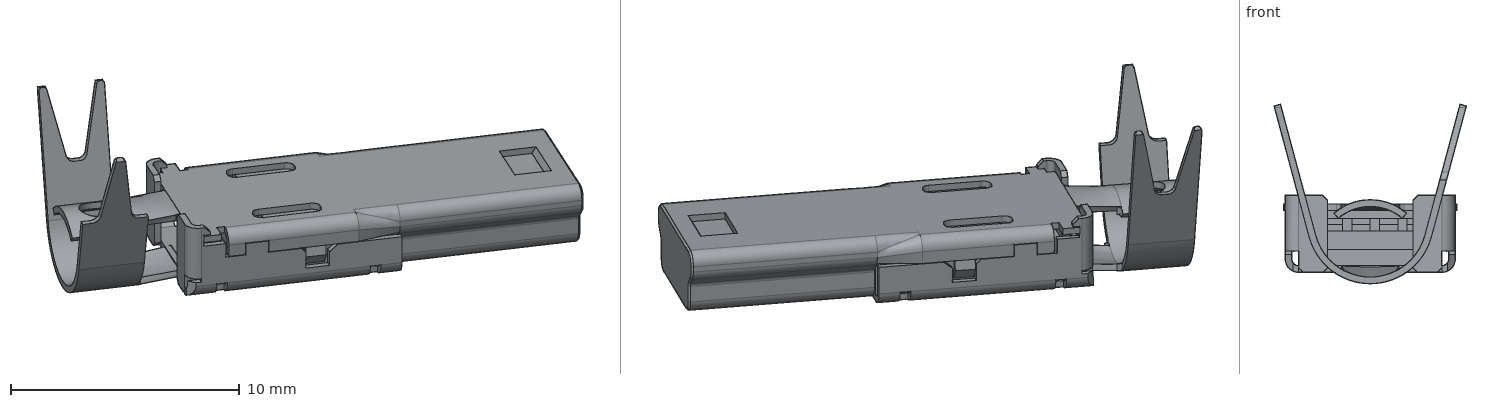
import cadquery as cq
import math


length = 22.7
sheet = 0.3
bend = 0.6
floor_z = 0.5
roof_z = 3.5
body_half = 3.72
tray_rear = 4.68
tip_start = 14.37
taper_start = 12.42
tip_half = 3.4
tip_bend = 0.57
overhang_z = 2.68
seam_z = 2.34
seam_gap = 0.02

roof_rear = 5.0

crimp_length = 2.97
crimp_radius = 2.77
crimp_top = 7.85
wing_lean = math.radians(15)

tongue_radius = 2.43
tongue_top = 3.68
tongue_half = 1.6
neck_half = 1.27


def box(x0, x1, y0, y1, z0, z1):
    """Axis-aligned block from its limits."""
    return cq.Workplane("XY").box(x1 - x0, y1 - y0, z1 - z0, centered=False).translate((x0, y0, z0))


def across(half_x, y0, y1, z0, z1):
    """Block centred on the plane X = 0."""
    return box(-half_x, half_x, y0, y1, z0, z1)


def both_sides(solid):
    """The solid together with its mirror image in X."""
    return solid.union(solid.mirror("YZ"))


def side_prism(points, x0, x1):
    """Prism along X with its outline given as (y, z) points."""
    return cq.Workplane("YZ", origin=(x0, 0, 0)).polyline(points).close().extrude(x1 - x0)


def channel(y0, y1, closed_z, open_z):
    """U-shaped bent sheet along Y, closed at closed_z and open at open_z."""
    low, high = min(closed_z, open_z), max(closed_z, open_z)
    closed_edges = "|Y and <Z" if closed_z < open_z else "|Y and >Z"
    shift = sheet if closed_z < open_z else -sheet
    outer = across(body_half, y0, y1, low, high).edges(closed_edges).fillet(bend)
    inner = across(body_half - sheet, y0, y1, low, high).edges(closed_edges).fillet(bend - sheet)
    return outer.cut(inner.translate((0, 0, shift)))


def wing_point(radius, z):
    """X of a wing face, tangent to a circle of this radius about the barrel axis, at height z."""
    tangent_z = crimp_radius - radius * math.sin(wing_lean)
    return radius * math.cos(wing_lean) + (z - tangent_z) * math.tan(wing_lean)


def crimp():
    inner_radius = crimp_radius - sheet
    outer_tip_z = crimp_top - sheet * math.sin(wing_lean)
    bend_x = math.cos(wing_lean)
    bend_z = math.sin(wing_lean)
    outer_x = wing_point(crimp_radius, outer_tip_z)
    inner_x = wing_point(inner_radius, crimp_top)
    barrel = (
        cq.Workplane("XZ")
        .moveTo(-outer_x, outer_tip_z)
        .lineTo(-crimp_radius * bend_x, crimp_radius * (1 - bend_z))
        .threePointArc((0, 0), (crimp_radius * bend_x, crimp_radius * (1 - bend_z)))
        .lineTo(outer_x, outer_tip_z)
        .lineTo(inner_x, crimp_top)
        .lineTo(inner_radius * bend_x, crimp_radius - inner_radius * bend_z)
        .threePointArc((0, sheet), (-inner_radius * bend_x, crimp_radius - inner_radius * bend_z))
        .lineTo(-inner_x, crimp_top)
        .close()
        .extrude(-crimp_length)
    )
    return barrel.intersect(wing_outline_left().union(wing_outline_right()))


wing_middle = crimp_length / 2
wing_reach = 4.55
wing_root_z = 4.55


def wing_outline_left():
    """Side outline of the left wing: two points with a V notch between them."""
    notch_half = 1.15
    point_round = 0.14
    blank = box(-wing_reach, 0, 0, crimp_length, 0, crimp_top)
    root_half = 0.4
    root_round = 0.35
    notch = side_prism(
        [
            (wing_middle - notch_half, crimp_top),
            (wing_middle - root_half, wing_root_z),
            (wing_middle + root_half, wing_root_z),
            (wing_middle + notch_half, crimp_top),
        ],
        -wing_reach,
        0,
    ).edges("|X and <Z").fillet(root_round)
    return blank.cut(notch).edges("|X and >Z").fillet(point_round)


def wing_outline_right():
    """Side outline of the right wing: one central tooth above two shoulders."""
    tooth_tip_half = 0.2
    tooth_root_half = 0.75
    tooth_round = 0.15
    shoulder_round = 0.4
    margin = 0.02
    outline = [
        (0, 0),
        (crimp_length, 0),
        (crimp_length, wing_root_z),
        (wing_middle + tooth_root_half, wing_root_z),
        (wing_middle + tooth_tip_half, crimp_top),
        (wing_middle - tooth_tip_half, crimp_top),
        (wing_middle - tooth_root_half, wing_root_z),
        (0, wing_root_z),
    ]
    root_corners = cq.selectors.BoxSelector(
        (0, wing_middle - tooth_root_half - margin, wing_root_z - margin),
        (wing_reach, wing_middle + tooth_root_half + margin, wing_root_z + margin),
    )
    blank = side_prism(outline, 0, wing_reach)
    return blank.edges(root_corners).fillet(shoulder_round).edges("|X and >Z").fillet(tooth_round)


def band(workplane, half, radius, crest_z, sign):
    """Closed arched strip with radial ends; sign +1 crowns at crest_z, -1 sags to crest_z."""
    def height(x, r):
        return crest_z + sign * (math.sqrt(r * r - x * x) - radius)

    inner = radius - sheet
    inner_half = half * inner / radius
    return (
        workplane.moveTo(-half, height(half, radius))
        .threePointArc((0, height(0, radius)), (half, height(half, radius)))
        .lineTo(inner_half, height(inner_half, inner))
        .threePointArc((0, height(0, inner)), (-inner_half, height(inner_half, inner)))
        .close()
    )


def neck(body_y, flat_z, radius, crest_z, sign):
    """Strip that changes from flat at the body to arched at the crimp."""
    nearly_flat = 90.8
    start = band(cq.Workplane("XZ", origin=(0, crimp_length, 0)), neck_half, radius, crest_z, sign)
    flat_end = start.workplane(offset=crimp_length - body_y)
    return band(flat_end, neck_half, nearly_flat, flat_z, sign).loft(ruled=True, combine=True)


def tongue():
    hole_radius = 0.73
    strip = band(cq.Workplane("XZ"), tongue_half, tongue_radius, tongue_top, 1).extrude(-crimp_length)
    hole_tool = cq.Workplane("XY", origin=(0, wing_middle, 0)).circle(hole_radius).extrude(tongue_top)
    return strip.cut(hole_tool)


def neck_gussets(edge_y, direction, strip):
    """Concave roundings where a neck leaves the straight edge of a strip."""
    round_radius = 0.2
    reach_y = edge_y + direction * round_radius
    side_x = neck_half + round_radius
    tool_top = tongue_top
    low_y, high_y = sorted((edge_y, reach_y))
    block = box(neck_half, side_x, low_y, high_y, 0, tool_top)
    hollow = cq.Workplane("XY", origin=(side_x, reach_y, 0)).circle(round_radius).extrude(tool_top)
    return both_sides(block.cut(hollow)).intersect(strip)


def crimp_gussets():
    """Neck roundings on the tongue and on the barrel."""
    strip_end = crimp_length + 0.23
    upper = band(cq.Workplane("XZ"), tongue_half, tongue_radius, tongue_top, 1).extrude(-strip_end)
    lower = band(cq.Workplane("XZ"), tongue_half, crimp_radius, 0, -1).extrude(-strip_end)
    return neck_gussets(crimp_length, 1, upper.union(lower))


tab_inner = 1.86
tab_top = 3.88
bend_line = body_half - bend
tab_bottom = 1.43
corner_bend_y = tray_rear + bend
tooth_rear = 7.29
tooth_front = 8.3
ear_rear = 5.38


def tray():
    relief_gap = 0.15
    stub_top = tab_bottom - relief_gap
    tooth_top_z = 2.88
    rear_wall_z = 3.0
    hook_low_z = roof_z + seam_gap
    rear_wall_y = 6.38
    hook_tip_y = 5.68
    hook_chamfer = 0.25
    wall_outline = [
        (corner_bend_y, floor_z),
        (tip_start, floor_z),
        (tip_start, seam_z),
        (tooth_front, seam_z),
        (tooth_front, tooth_top_z),
        (tooth_rear, tooth_top_z),
        (tooth_rear, seam_z),
        (rear_wall_y, seam_z),
        (rear_wall_y, rear_wall_z),
        (ear_rear, rear_wall_z),
        (ear_rear, hook_low_z),
        (hook_tip_y, hook_low_z),
        (hook_tip_y, tab_top - hook_chamfer),
        (hook_tip_y - hook_chamfer, tab_top),
        (corner_bend_y, tab_top),
    ]
    walls = channel(corner_bend_y, tip_start, floor_z, tab_top)
    body = walls.intersect(side_prism(wall_outline, -body_half, body_half))

    rear_floor = channel(tray_rear, corner_bend_y, floor_z, stub_top)
    rear_floor = rear_floor.cut(across(bend_line, tray_rear, tray_rear + sheet, floor_z, stub_top))
    corner_cut = 0.35
    rear_floor = rear_floor.intersect(
        across(body_half, tray_rear, corner_bend_y, floor_z, stub_top)
        .edges("|Z and <Y")
        .chamfer(corner_cut)
    )
    body = body.union(rear_floor).union(rear_tabs())
    return body.cut(bend_slots()).cut(latch_windows())


def rear_tabs():
    """Wall ends wrapped round the rear corners, each with a flat tab reaching inward."""
    top_chamfer = 0.23
    low_chamfer = 0.2
    wrap_end = tray_rear + 2 * bend
    outer = across(body_half, tray_rear, wrap_end, tab_bottom, tab_top)
    outer = outer.edges("|Z and <Y").fillet(bend)
    inner = across(body_half - sheet, tray_rear + sheet, wrap_end, tab_bottom, tab_top)
    inner = inner.edges("|Z and <Y").fillet(bend - sheet)
    corners = both_sides(box(bend_line, body_half, tray_rear, corner_bend_y, tab_bottom, tab_top))
    wrap = outer.cut(inner).intersect(corners)
    flat = box(tab_inner, bend_line, tray_rear, tray_rear + sheet, floor_z, tab_top)
    flat = flat.edges("|Y and <X and >Z").chamfer(top_chamfer)
    flat = flat.edges("|Y and <Z").chamfer(low_chamfer)
    return wrap.union(both_sides(flat))


def bend_slots():
    """Short slots through the lower bends of the tray."""
    slot_width = 0.48
    slot_top = floor_z + bend
    tools = cq.Workplane("XY")
    for slot_y in (5.97, 12.95):
        tools = tools.union(
            both_sides(box(bend_line, body_half, slot_y, slot_y + slot_width, floor_z, slot_top))
        )
    return tools


latch_start = 10.03
latch_end = 10.95


def latch_windows():
    """Flared windows in the tray walls that receive the latch tongues."""
    window_z = 1.36
    flare = 0.39
    flare_z = 2.02
    rear_flare = 0.2
    front_gap = 0.14
    outline = [
        (latch_start - seam_gap, window_z),
        (latch_end + front_gap, window_z),
        (latch_end + front_gap, flare_z),
        (latch_end + front_gap + flare, seam_z),
        (latch_start - seam_gap - rear_flare, seam_z),
        (latch_start - seam_gap, seam_z - rear_flare),
    ]
    return both_sides(side_prism(outline, body_half - sheet, body_half))


def upper_shell():
    side_rear = 6.51
    rear_half = 3.05
    ear_half = 3.8
    ear_front = 6.15
    relief_z = 2.9
    wall_low = seam_z + seam_gap
    under_roof = roof_z - sheet
    shell = channel(side_rear, taper_start, roof_z, wall_low)
    relief_rear = tooth_rear - seam_gap
    relief_front = tooth_front + seam_gap
    tooth_relief = box(body_half - sheet, body_half, relief_rear, relief_front, wall_low, relief_z)
    shell = shell.cut(both_sides(tooth_relief))
    shell = shell.union(across(rear_half, roof_rear, side_rear + bend, under_roof, roof_z))
    shell = shell.union(across(ear_half, ear_rear, ear_front, under_roof, roof_z))

    roof_strip = across(rear_half, roof_rear - 0.23, roof_rear, under_roof, roof_z)
    shell = shell.union(neck_gussets(roof_rear, -1, roof_strip))
    shell = shell.union(latches()).union(taper())
    return shell.cut(roof_slots())


def latches():
    """Side tongues bent into a shallow V that rests in the tray windows."""
    wall_inside = body_half - sheet
    crest_z = 1.88
    tip_z = 1.4
    profile = [
        (wall_inside, seam_z + 2 * seam_gap),
        (body_half - 0.14, seam_z + 2 * seam_gap),
        (body_half - seam_gap, crest_z),
        (wall_inside - 0.07, tip_z),
        (wall_inside - 0.25, tip_z + 0.14),
        (wall_inside, crest_z),
    ]
    latch = cq.Workplane("XZ", origin=(0, latch_start, 0)).polyline(profile).close()
    return both_sides(latch.extrude(latch_start - latch_end))


def taper():
    """Part of the upper shell that narrows from the body to the plug tip.

    The roof edge stays straight; the rolled corner of the tip twists into the
    flat roof while the tip's side wall twists into the rolled corner of the body.
    """
    low = seam_z + seam_gap
    roof_half = tip_half - tip_bend
    tip_roll = tip_bend * (1 - math.sqrt(0.5))
    body_roll = bend * (1 - math.sqrt(0.5))
    tip_foot = roof_half + math.sqrt(tip_bend**2 - (overhang_z - low) ** 2)
    wide_end = (
        cq.Workplane("XZ", origin=(0, taper_start, 0))
        .moveTo(0, roof_z)
        .lineTo(roof_half, roof_z)
        .lineTo(bend_line, roof_z)
        .threePointArc((body_half - body_roll, roof_z - body_roll), (body_half, roof_z - bend))
        .lineTo(body_half, low)
        .lineTo(0, low)
        .close()
    )
    half = (
        wide_end.workplane(offset=taper_start - tip_start)
        .moveTo(0, roof_z)
        .lineTo(roof_half, roof_z)
        .threePointArc((tip_half - tip_roll, roof_z - tip_roll), (tip_half, roof_z - tip_bend))
        .lineTo(tip_half, overhang_z)
        .lineTo(tip_foot, low)
        .lineTo(0, low)
        .close()
        .loft(ruled=True, combine=True)
    )
    return both_sides(half)


def roof_slots():
    """Two long rounded slots in the roof."""
    slot_x = 2.15
    slot_length = 3.06
    slot_width = 0.89
    slot_middle = 9.58
    corner = 0.36
    slot = box(-slot_width / 2, slot_width / 2, -slot_length / 2, slot_length / 2, roof_z - sheet, roof_z)
    slot = slot.edges("|Z").fillet(corner)
    return both_sides(slot.translate((slot_x, slot_middle, 0)))


tip_low_half = 2.84


def plug_tip():
    waist = 0.2
    edge_chamfer = 0.1
    diag = math.sqrt(0.5)
    top_center = (tip_half - tip_bend, roof_z - tip_bend)
    overhang_center_x = tip_half - tip_bend
    slope_top = (overhang_center_x + tip_bend * diag, overhang_z - tip_bend * diag)
    slope_low_x = tip_low_half + waist * (1 - diag)
    slope_low = (slope_low_x, slope_top[1] - (slope_top[0] - slope_low_x))
    waist_low = (tip_low_half, slope_low[1] - waist * diag)
    waist_angle = math.pi / 8
    waist_middle = (
        tip_low_half + waist * (1 - math.cos(waist_angle)),
        waist_low[1] + waist * math.sin(waist_angle),
    )
    overhang_middle = (
        overhang_center_x + tip_bend * math.cos(waist_angle),
        overhang_z - tip_bend * math.sin(waist_angle),
    )
    low_center = (tip_low_half - tip_bend, floor_z + tip_bend)
    half = (
        cq.Workplane("XZ", origin=(0, tip_start, 0))
        .moveTo(0, roof_z)
        .lineTo(top_center[0], roof_z)
        .threePointArc(
            (top_center[0] + tip_bend * diag, top_center[1] + tip_bend * diag),
            (tip_half, top_center[1]),
        )
        .lineTo(tip_half, overhang_z)
        .threePointArc(overhang_middle, slope_top)
        .lineTo(*slope_low)
        .threePointArc(waist_middle, waist_low)
        .lineTo(tip_low_half, low_center[1])
        .threePointArc(
            (low_center[0] + tip_bend * diag, low_center[1] - tip_bend * diag),
            (low_center[0], floor_z),
        )
        .lineTo(0, floor_z)
        .close()
        .extrude(tip_start - length)
    )
    return both_sides(half).faces(">Y").edges().chamfer(edge_chamfer).cut(tip_window())


def tip_window():
    """Shallow latch pocket in the roof with a sloped front wall."""
    pocket_half = 1.27
    pocket_rear = 20.15
    pocket_front = 21.81
    slope = 0.18
    outline = [
        (pocket_rear, roof_z),
        (pocket_rear, roof_z - sheet),
        (pocket_front - slope, roof_z - sheet),
        (pocket_front, roof_z),
    ]
    return side_prism(outline, -pocket_half, pocket_half)


def insulator():
    block_half = 3.06
    shelf_rear = 7.22
    full_rear = 8.17
    base_z = floor_z + sheet
    shelf_z = 2.32
    tail_top = 2.85
    tail_rear = shelf_rear + 0.15
    steps = [
        (6.58, 1.5),
        (shelf_rear, shelf_z),
        (7.72, 2.59),
        (full_rear, tail_top),
        (8.54, roof_z - sheet),
    ]
    block = cq.Workplane("XY")
    for step_y, step_z in steps:
        block = block.union(across(block_half, step_y, tip_start, base_z, step_z))
    tail_pitch = 1.2
    tail_half = 0.2
    first_tail = -1.0
    for index in range(3):
        tail_x = first_tail + index * tail_pitch
        tail = box(tail_x - tail_half, tail_x + tail_half, tail_rear, full_rear, shelf_z, tail_top)
        block = block.union(tail)
    return block


result = (
    crimp()
    .union(tongue())
    .union(crimp_gussets())
    .union(neck(tray_rear + 2 * sheet, floor_z, crimp_radius, 0, -1))
    .union(neck(roof_rear, roof_z, tongue_radius, tongue_top, 1))
    .union(tray())
    .union(upper_shell())
    .union(insulator())
    .union(plug_tip())
)